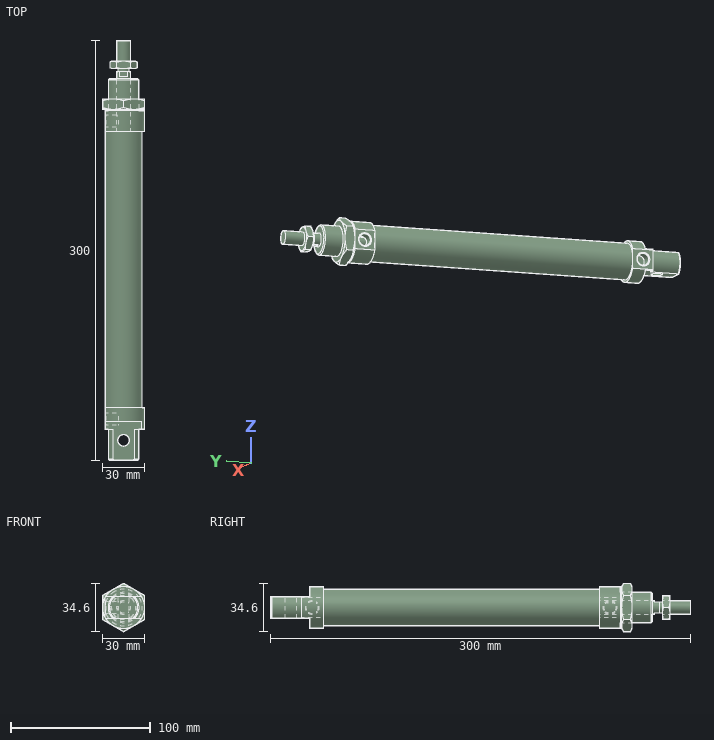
import cadquery as cq
import math

TOTAL_LENGTH = 300.0

CLEVIS_SHOULDER = 22.2
REAR_CAP_STEP = 28.0
REAR_CAP_FRONT = 37.8
FRONT_CAP_REAR = 235.0
FRONT_CAP_FRONT = 250.0
NOSE_FRONT = 272.7
ROD_FLATS_REAR = 274.2
ROD_SHOULDER = 277.8

BARREL_DIAMETER = 26.5
CAP_DIAMETER = 30.0
CAP_FLAT_X = -BARREL_DIAMETER / 2
NOSE_DIAMETER = 22.0
EDGE_CHAMFER = 1.0
CLEVIS_THICKNESS = 15.5
CLEVIS_HOLE_DIAMETER = 8.0
CLEVIS_HOLE_Y = 14.5
PORT_DIAMETER = 8.7
PORT_CHAMFER = 0.5
PORT_DEPTH = 9.5
REAR_PORT_Y = 29.7
FRONT_PORT_Y = 242.5

ROD_DIAMETER = 10.0
ROD_FLATS_WIDTH = 8.0
NECK_DIAMETER = 8.0
NECK_FRONT = 280.0

MOUNT_NUT_FLATS = 30.0
MOUNT_NUT_THICKNESS = 7.5
MOUNT_NUT_REAR = 250.8
ROD_NUT_FLATS = 17.0
ROD_NUT_THICKNESS = 5.5
ROD_NUT_REAR = NECK_FRONT
NUT_CHAMFER_ANGLE = 30.0


def cylinder_y(diameter, start, end):
    """Solid cylinder on the Y axis between two stations."""
    return cq.Workplane("XZ", origin=(0, start, 0)).circle(diameter / 2).extrude(start - end)


def box_y(x_min, x_max, z_min, z_max, start, end):
    """Box given by its limits in X, Z and Y."""
    size = (x_max - x_min, end - start, z_max - z_min)
    return cq.Workplane("XY").box(*size, centered=False).translate((x_min, start, z_min))


def make_cap(start, end):
    """Round cap with a port flat on its -X side."""
    radius = CAP_DIAMETER / 2
    keep = box_y(CAP_FLAT_X, radius, -radius, radius, start, end)
    return cylinder_y(CAP_DIAMETER, start, end).intersect(keep)


def make_port(y):
    """Cutter for a radial port entering from the cap flat, with a chamfered mouth."""
    bore_radius = PORT_DIAMETER / 2
    profile = (
        cq.Workplane("XY", origin=(CAP_FLAT_X, y, 0))
        .moveTo(0, 0)
        .lineTo(0, bore_radius + PORT_CHAMFER)
        .lineTo(PORT_CHAMFER, bore_radius)
        .lineTo(PORT_DEPTH, bore_radius)
        .lineTo(PORT_DEPTH, 0)
        .close()
    )
    return profile.revolve(360, (0, 0, 0), (1, 0, 0))


def make_clevis():
    """Flattened rear tongue, widening to a step on the rear cap, with a cross hole."""
    half = CLEVIS_THICKNESS / 2
    radius = CAP_DIAMETER / 2
    tongue = cylinder_y(NOSE_DIAMETER, 0, CLEVIS_SHOULDER).faces("<Y").chamfer(EDGE_CHAMFER)
    step = make_cap(CLEVIS_SHOULDER, REAR_CAP_STEP)
    slab = box_y(-radius, radius, -half, half, 0, REAR_CAP_STEP)
    hole = (
        cq.Workplane("XY", origin=(0, CLEVIS_HOLE_Y, 0))
        .circle(CLEVIS_HOLE_DIAMETER / 2)
        .extrude(half, both=True)
    )
    return tongue.union(step).intersect(slab).cut(hole)


def make_housing():
    """Barrel, both caps, the mounting nose and the clevis, bored for the rod."""
    barrel = cylinder_y(BARREL_DIAMETER, REAR_CAP_FRONT, FRONT_CAP_REAR)
    nose = cylinder_y(NOSE_DIAMETER, FRONT_CAP_FRONT, NOSE_FRONT).faces(">Y").chamfer(EDGE_CHAMFER)
    body = (
        make_clevis()
        .union(make_cap(REAR_CAP_STEP, REAR_CAP_FRONT))
        .union(barrel)
        .union(make_cap(FRONT_CAP_REAR, FRONT_CAP_FRONT))
        .union(nose)
    )
    for port_y in (REAR_PORT_Y, FRONT_PORT_Y):
        body = body.cut(make_port(port_y))
    return body.cut(cylinder_y(ROD_DIAMETER, FRONT_CAP_REAR, NOSE_FRONT))


def make_rod():
    """Rod seated in the front cap, with wrench flats and a neck behind its threaded end."""
    radius = ROD_DIAMETER / 2
    half = ROD_FLATS_WIDTH / 2
    shank = cylinder_y(ROD_DIAMETER, FRONT_CAP_REAR, ROD_SHOULDER)
    for z_min, z_max in ((-radius, -half), (half, radius)):
        shank = shank.cut(box_y(-radius, radius, z_min, z_max, ROD_FLATS_REAR, ROD_SHOULDER))
    neck = cylinder_y(NECK_DIAMETER, ROD_SHOULDER, NECK_FRONT)
    thread = cylinder_y(ROD_DIAMETER, NECK_FRONT, TOTAL_LENGTH)
    return shank.union(neck).union(thread)


def make_nut(flats, thickness, bore, rear, turn):
    """Hex nut on the Y axis with both faces chamfered; turn = 0 puts corners on X."""
    corners = flats / math.cos(math.pi / 6)
    drop = (corners - flats) / 2 * math.tan(math.radians(NUT_CHAMFER_ANGLE))
    front = rear + thickness
    hexagon = (
        cq.Workplane("XZ", origin=(0, rear, 0))
        .polygon(6, corners)
        .extrude(-thickness)
        .rotate((0, 0, 0), (0, 1, 0), turn)
    )
    chamfer_envelope = (
        cq.Workplane("XY")
        .moveTo(0, rear)
        .lineTo(flats / 2, rear)
        .lineTo(corners / 2, rear + drop)
        .lineTo(corners / 2, front - drop)
        .lineTo(flats / 2, front)
        .lineTo(0, front)
        .close()
        .revolve(360, (0, 0, 0), (0, 1, 0))
    )
    return hexagon.intersect(chamfer_envelope).cut(cylinder_y(bore, rear, front))


housing = make_housing()
rod = make_rod()
mount_nut = make_nut(MOUNT_NUT_FLATS, MOUNT_NUT_THICKNESS, NOSE_DIAMETER, MOUNT_NUT_REAR, 30)
rod_nut = make_nut(ROD_NUT_FLATS, ROD_NUT_THICKNESS, ROD_DIAMETER, ROD_NUT_REAR, 0)

result = cq.Compound.makeCompound([housing.val(), rod.val(), mount_nut.val(), rod_nut.val()])